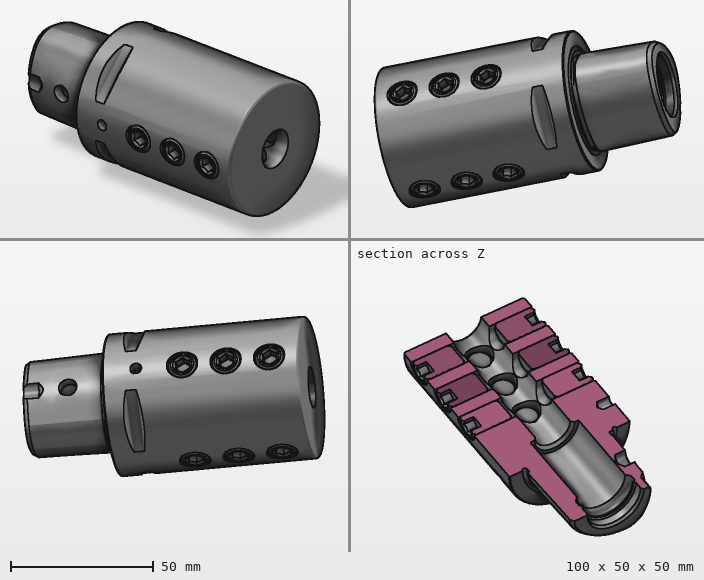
import cadquery as cq
import math

TOTAL_LENGTH = 100.0
REACH = TOTAL_LENGTH + 1.0

BODY_RADIUS = 25.0
BODY_FRONT = 30.0
FRONT_CHAMFER = 0.4
REAR_FILLET = 1.0

RING_RADIUS = 17.9
RING_HEIGHT = 0.4
FACE_GROOVE_WIDTH = 1.6
FACE_GROOVE_DEPTH = 0.8

LOBE_OFFSET = 8.2
LOBE_ANGLES = (0, 120, 240)
LOBE_HALF_SPAN = 30
SHANK_WIDTH = 35.0
SHANK_END = 27.9
SHANK_TAPER = 1 / 20
TIP_CHAMFER_LENGTH = 1.6
TIP_CHAMFER_DROP = 1.0

NECK_DROP = 0.3
NECK_RADIUS = 17.7
NECK_CONE_RADIUS = 18.6

MOUTH_RADIUS = 11.7
MOUTH_CHAMFER_LENGTH = 1.2
ENTRY_RADIUS = 11.1
ENTRY_END = 4.2
LIP_RADIUS = 10.4
LIP_START = 4.7
LIP_END = 5.4
CATCH_GROOVE_RADIUS = 11.4
CATCH_GROOVE_END = 7.9
CATCH_CONE_END = 9.4
CATCH_FILLET = 1.5
DRAWBAR_RADIUS = 9.9
DRAWBAR_END = 40.0
SEAT_RADIUS = 8.3
SEAT_CONE_LENGTH = 1.3
THROUGH_RADIUS = 7.2

DRILL_POINT_ANGLE = 118
SHANK_HOLE_RADIUS = 3.2
SHANK_HOLE_X = 16.1
SHANK_HOLE_FLOOR = 12.0
BODY_HOLE_RADIUS = 2.0
BODY_HOLE_X = 42.0
BODY_HOLE_FLOOR = 20.0

NOTCH_RADIUS = 3.7
NOTCH_FLOOR = 14.1
NOTCH_LENGTH = 5.5
NOTCH_POINT_ANGLE = 90

SLOT_X = 40.0
SLOT_ANGLES = (45, 135, 225, 315)
SLOT_FLOOR = 22.3
SLOT_FLOOR_WIDTH = 3.7
SLOT_FLANK_TILT = 30
SLOT_FILLET = 0.6

SCREW_RADIUS = 5.0
SCREW_PITCH = 15.5
LAST_SCREW_TO_REAR = 10.5
SCREWS_PER_ROW = 3
SCREW_ROW_ANGLES = (0, 180, 270)
SCREW_TOP = 24.9
SCREW_LENGTH = 16.0
SCREW_CHAMFER = 0.9
SOCKET_ACROSS_FLATS = 5.0
SOCKET_DEPTH = 4.5
HALF_HEXAGON_STEP = 30
SOCKET_MOUTH_RADIUS = 3.4
SCREW_HOLE_CHAMFER = 0.5

SCREW_POSITIONS = [
    (TOTAL_LENGTH - LAST_SCREW_TO_REAR - index * SCREW_PITCH, angle)
    for angle in SCREW_ROW_ANGLES
    for index in range(SCREWS_PER_ROW)
]


def revolved(points):
    """Solid of revolution about X from (x, radius) points that start and end on the axis."""
    return cq.Workplane("XY").polyline(points).close().revolve(360, (0, 0), (1, 0))


def radial_plane(x, angle):
    """Plane on the axis at x, with its normal at the angle from +Y towards +Z."""
    turn = math.radians(angle)
    return cq.Plane(
        origin=(x, 0, 0),
        xDir=(1, 0, 0),
        normal=(0, math.cos(turn), math.sin(turn)),
    )


def turned_about_radius(x, angle, points):
    """Solid turned about a radial line, from (radius, distance from the X axis) points."""
    outline = cq.Workplane("XY", origin=(x, 0, 0)).polyline(points).close()
    solid = outline.revolve(360, (0, 0), (0, 1))
    return solid.rotate((0, 0, 0), (1, 0, 0), angle)


def point_length(radius, point_angle):
    """Length of a conical cutter point with the given included angle."""
    return radius / math.tan(math.radians(point_angle / 2))


def polar(centre, radius, angle):
    """Point at a radius and an angle in degrees around the centre."""
    turn = math.radians(angle)
    return (centre[0] + radius * math.cos(turn), centre[1] + radius * math.sin(turn))


def lobed_outline(x, width):
    """Constant-width outline of three lobe arcs and three flatter arcs, all tangent."""
    lobe_radius = (width - LOBE_OFFSET * math.sqrt(3)) / 2
    flat_distance = width - LOBE_OFFSET - lobe_radius
    lobe_step = 360 / len(LOBE_ANGLES)
    lobe_centres = [polar((0, 0), LOBE_OFFSET, angle) for angle in LOBE_ANGLES]
    start = polar(lobe_centres[0], lobe_radius, LOBE_ANGLES[0] - LOBE_HALF_SPAN)
    outline = cq.Workplane("YZ", origin=(x, 0, 0)).moveTo(*start)
    for index, angle in enumerate(LOBE_ANGLES):
        next_index = (index + 1) % len(LOBE_ANGLES)
        lobe_crest = polar((0, 0), LOBE_OFFSET + lobe_radius, angle)
        lobe_end = polar(lobe_centres[index], lobe_radius, angle + LOBE_HALF_SPAN)
        flat_middle = polar((0, 0), flat_distance, angle + lobe_step / 2)
        flat_end_angle = angle + lobe_step - LOBE_HALF_SPAN
        flat_end = polar(lobe_centres[next_index], lobe_radius, flat_end_angle)
        outline = outline.threePointArc(lobe_crest, lobe_end).threePointArc(flat_middle, flat_end)
    return outline.close()


def make_shank():
    width_behind_chamfer = SHANK_WIDTH - SHANK_TAPER * (SHANK_END - TIP_CHAMFER_LENGTH)
    sections = [
        (0, width_behind_chamfer - 2 * TIP_CHAMFER_DROP),
        (TIP_CHAMFER_LENGTH, width_behind_chamfer),
        (SHANK_END, SHANK_WIDTH),
    ]
    wires = [lobed_outline(x, width).val() for x, width in sections]
    return cq.Workplane(obj=cq.Solid.makeLoft(wires, True))


def make_neck():
    neck = lobed_outline(SHANK_END, SHANK_WIDTH - 2 * NECK_DROP).extrude(BODY_FRONT - SHANK_END)
    limit = revolved([
        (SHANK_END, 0),
        (SHANK_END, NECK_CONE_RADIUS),
        (SHANK_END + NECK_CONE_RADIUS - NECK_RADIUS, NECK_RADIUS),
        (BODY_FRONT, NECK_RADIUS),
        (BODY_FRONT, 0),
    ])
    return neck.intersect(limit)


def make_body():
    groove_outer = RING_RADIUS + FACE_GROOVE_WIDTH
    groove_middle = RING_RADIUS + FACE_GROOVE_WIDTH / 2
    profile = (
        cq.Workplane("XY")
        .moveTo(BODY_FRONT - RING_HEIGHT, 0)
        .lineTo(BODY_FRONT - RING_HEIGHT, RING_RADIUS)
        .threePointArc((BODY_FRONT + FACE_GROOVE_DEPTH, groove_middle), (BODY_FRONT, groove_outer))
        .lineTo(BODY_FRONT, BODY_RADIUS - FRONT_CHAMFER)
        .lineTo(BODY_FRONT + FRONT_CHAMFER, BODY_RADIUS)
        .lineTo(TOTAL_LENGTH - REAR_FILLET, BODY_RADIUS)
        .radiusArc((TOTAL_LENGTH, BODY_RADIUS - REAR_FILLET), REAR_FILLET)
        .lineTo(TOTAL_LENGTH, 0)
        .close()
    )
    return profile.revolve(360, (0, 0), (1, 0))


def make_bore():
    bore = revolved([
        (0, 0),
        (0, MOUTH_RADIUS),
        (MOUTH_CHAMFER_LENGTH, ENTRY_RADIUS),
        (ENTRY_END, ENTRY_RADIUS),
        (LIP_START, LIP_RADIUS),
        (LIP_END, LIP_RADIUS),
        (LIP_END, CATCH_GROOVE_RADIUS),
        (CATCH_GROOVE_END, CATCH_GROOVE_RADIUS),
        (CATCH_CONE_END, DRAWBAR_RADIUS),
        (DRAWBAR_END, DRAWBAR_RADIUS),
        (DRAWBAR_END, SEAT_RADIUS),
        (DRAWBAR_END + SEAT_CONE_LENGTH, THROUGH_RADIUS),
        (REACH, THROUGH_RADIUS),
        (REACH, 0),
    ])
    groove_end_centre = (CATCH_GROOVE_END, 0, 0)
    return bore.edges(cq.NearestToPointSelector(groove_end_centre)).fillet(CATCH_FILLET)


def make_drilled_hole(x, radius, floor):
    """Blind hole from the -Y side with a conical drill point."""
    tip = floor - point_length(radius, DRILL_POINT_ANGLE)
    return turned_about_radius(x, 180, [
        (0, tip),
        (radius, floor),
        (radius, BODY_RADIUS),
        (0, BODY_RADIUS),
    ])


def make_notch():
    tip = NOTCH_LENGTH + point_length(NOTCH_RADIUS, NOTCH_POINT_ANGLE)
    cutter = revolved([(0, 0), (0, NOTCH_RADIUS), (NOTCH_LENGTH, NOTCH_RADIUS), (tip, 0)])
    return cutter.translate((0, -NOTCH_FLOOR - NOTCH_RADIUS, 0))


def make_gripper_slot(angle):
    """Straight slot with tilted flanks and rounded floor corners."""
    height = BODY_RADIUS - SLOT_FLOOR
    floor_half = SLOT_FLOOR_WIDTH / 2
    top_half = floor_half + height * math.tan(math.radians(SLOT_FLANK_TILT))
    slot = (
        cq.Workplane("XY", origin=(SLOT_X, 0, 0))
        .polyline([
            (-floor_half, SLOT_FLOOR),
            (floor_half, SLOT_FLOOR),
            (top_half, BODY_RADIUS),
            (-top_half, BODY_RADIUS),
        ])
        .close()
        .extrude(BODY_RADIUS, both=True)
        .edges("|Z and <Y")
        .fillet(SLOT_FILLET)
    )
    return slot.rotate((0, 0, 0), (1, 0, 0), angle)


def make_screw_hole(x, angle):
    return turned_about_radius(x, angle, [
        (0, 0),
        (SCREW_RADIUS, 0),
        (SCREW_RADIUS, BODY_RADIUS - SCREW_HOLE_CHAMFER),
        (SCREW_RADIUS + SCREW_HOLE_CHAMFER, BODY_RADIUS),
        (0, BODY_RADIUS),
    ])


def make_housing():
    housing = make_body().union(make_neck()).union(make_shank()).cut(make_bore())
    housing = housing.cut(make_drilled_hole(SHANK_HOLE_X, SHANK_HOLE_RADIUS, SHANK_HOLE_FLOOR))
    housing = housing.cut(make_drilled_hole(BODY_HOLE_X, BODY_HOLE_RADIUS, BODY_HOLE_FLOOR))
    housing = housing.cut(make_notch())
    for angle in SLOT_ANGLES:
        housing = housing.cut(make_gripper_slot(angle))
    for x, angle in SCREW_POSITIONS:
        housing = housing.cut(make_screw_hole(x, angle))
    return housing


def make_screw(x, angle):
    """Clamping screw with chamfered ends and a hexagon socket in its outer end."""
    bottom = SCREW_TOP - SCREW_LENGTH
    end_radius = SCREW_RADIUS - SCREW_CHAMFER
    blank = turned_about_radius(x, angle, [
        (0, bottom),
        (end_radius, bottom),
        (SCREW_RADIUS, bottom + SCREW_CHAMFER),
        (SCREW_RADIUS, SCREW_TOP - SCREW_CHAMFER),
        (end_radius, SCREW_TOP),
        (0, SCREW_TOP),
    ])
    across_corners = SOCKET_ACROSS_FLATS / math.cos(math.radians(HALF_HEXAGON_STEP))
    socket = (
        cq.Workplane(radial_plane(x, angle))
        .workplane(offset=SCREW_TOP - SOCKET_DEPTH)
        .transformed(rotate=(0, 0, HALF_HEXAGON_STEP))
        .polygon(6, across_corners)
        .extrude(SOCKET_DEPTH)
    )
    mouth = turned_about_radius(x, angle, [
        (0, SCREW_TOP - SOCKET_MOUTH_RADIUS),
        (SOCKET_MOUTH_RADIUS, SCREW_TOP),
        (0, SCREW_TOP),
    ])
    return blank.cut(socket).cut(mouth)


housing = make_housing().solids()
screws = [make_screw(x, angle).solids() for x, angle in SCREW_POSITIONS]

result = cq.Compound.makeCompound([housing.val(), *[screw.val() for screw in screws]])